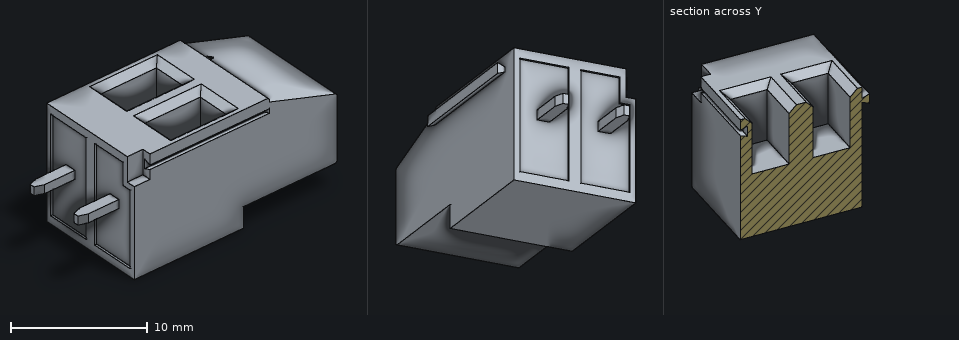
import cadquery as cq

poles = 2
pitch = 5.0
width = poles * pitch
length = 19.5
height = 10.5
flange_length = 1.5

rear_length = 6.5
rear_bottom = 1.9
rear_top = 8.0
foot_length = 10.5
step_height = 0.4
edge_radius = 0.3

rail_depth = 0.6
rail_outer_height = 0.86
rail_root_height = 0.4
rail_top_gap = 0.75
rail_length = length - flange_length - rear_length
rail_center_z = height - rail_top_gap - rail_outer_height / 2

notch_width = 0.8
notch_height = 2.25

window_width = 4.2
window_length = 6.5
window_center_y = 7.05
window_taper = 0.6
window_depth = 5.0

panel_width = 4.05
panel_gap = 0.75
panel_depth = 0.2
panel_height = height - 2 * panel_gap
notch_wall_x = 0.5
notch_wall_z = 0.55

pin_width = 1.0
pin_thickness = 0.8
pin_length = 3.5
pin_tip_length = 0.78
pin_tip_width = 0.45
pin_center_z = 5.6

mark_width = 0.5
mark_length = 0.43
mark_gap = 0.5
mark_depth = 0.1

pole_centers = [pitch * (i + 0.5) for i in range(poles)]


def make_housing():
    """Side outline extruded over the full width, with its rounded edges."""
    rear_start = length - rear_length
    outline = [
        (0, 0),
        (foot_length, 0),
        (foot_length, rear_bottom),
        (length, rear_bottom),
        (length, rear_top),
        (rear_start, height - step_height),
        (rear_start, height),
        (0, height),
    ]
    housing = cq.Workplane("YZ").polyline(outline).close().extrude(width)

    def cross_edge(y, z):
        return cq.selectors.NearestToPointSelector((width / 2, y, z))

    housing = housing.edges(cross_edge(rear_start, height)).fillet(edge_radius)
    housing = housing.edges(cross_edge(length, rear_bottom)).fillet(edge_radius)
    return housing.edges(cross_edge(length, rear_top)).fillet(edge_radius)


def make_dovetail(root_x):
    """Dovetail bar that widens from root_x towards -X, running behind the flange."""
    outer_x = root_x - rail_depth
    half_root = rail_root_height / 2
    half_outer = rail_outer_height / 2
    section = [
        (root_x, rail_center_z - half_root),
        (root_x, rail_center_z + half_root),
        (outer_x, rail_center_z + half_outer),
        (outer_x, rail_center_z - half_outer),
    ]
    bar = cq.Workplane("XZ").polyline(section).close().extrude(-rail_length)
    return bar.translate((0, flange_length, 0))


def make_notch():
    """Block removed from the upper +X corner of the flange."""
    notch = cq.Workplane("XY").box(notch_width, flange_length, notch_height, centered=False)
    return notch.translate((width - notch_width, 0, height - notch_height))


def make_window(center_x):
    """Straight pocket with a 45-degree funnel at the top surface."""
    inner_width = window_width - 2 * window_taper
    inner_length = window_length - 2 * window_taper
    top = cq.Workplane("XY", origin=(center_x, window_center_y, height))
    pocket = top.rect(inner_width, inner_length).extrude(-window_depth)
    funnel = (
        top.rect(window_width, window_length)
        .workplane(offset=-window_taper)
        .rect(inner_width, inner_length)
        .loft(ruled=True)
    )
    return pocket.union(funnel)


def make_panel(center_x):
    """Shallow recess in the front face for one pole."""
    panel = cq.Workplane("XY").box(panel_width, panel_depth, panel_height, centered=(True, False, False))
    return panel.translate((center_x, 0, panel_gap))


def make_notch_wall():
    """Zone around the corner notch that the front recesses leave solid."""
    wall_width = notch_width + notch_wall_x
    wall_height = notch_height + notch_wall_z
    wall = cq.Workplane("XY").box(wall_width, panel_depth, wall_height, centered=False)
    return wall.translate((width - wall_width, 0, height - wall_height))


def make_pin(center_x):
    """Flat pin from the recess floor forwards, with a tapered tip."""
    half_width = pin_width / 2
    half_tip = pin_tip_width / 2
    shoulder_y = pin_tip_length - pin_length
    outline = [
        (-half_width, panel_depth),
        (-half_width, shoulder_y),
        (-half_tip, -pin_length),
        (half_tip, -pin_length),
        (half_width, shoulder_y),
        (half_width, panel_depth),
    ]
    pin = cq.Workplane("XY").polyline(outline).close().extrude(pin_thickness)
    return pin.translate((center_x, 0, pin_center_z - pin_thickness / 2))


def make_mark(housing):
    """Triangular cut pointing to the rear, with its floor parallel to the slope."""
    base_y = length - rear_length + mark_gap
    half_width = mark_width / 2
    outline = [
        (pole_centers[0] - half_width, base_y),
        (pole_centers[0] + half_width, base_y),
        (pole_centers[0], base_y + mark_length),
    ]
    prism = cq.Workplane("XY", origin=(0, 0, rear_top)).polyline(outline).close().extrude(height - rear_top)
    return prism.cut(housing.translate((0, 0, -mark_depth)))


housing = make_housing()
result = housing.cut(make_dovetail(width)).cut(make_notch()).cut(make_mark(housing))
for pole_x in pole_centers:
    result = result.cut(make_window(pole_x))
    result = result.cut(make_panel(pole_x).cut(make_notch_wall()))
    result = result.union(make_pin(pole_x))
result = result.union(make_dovetail(0))